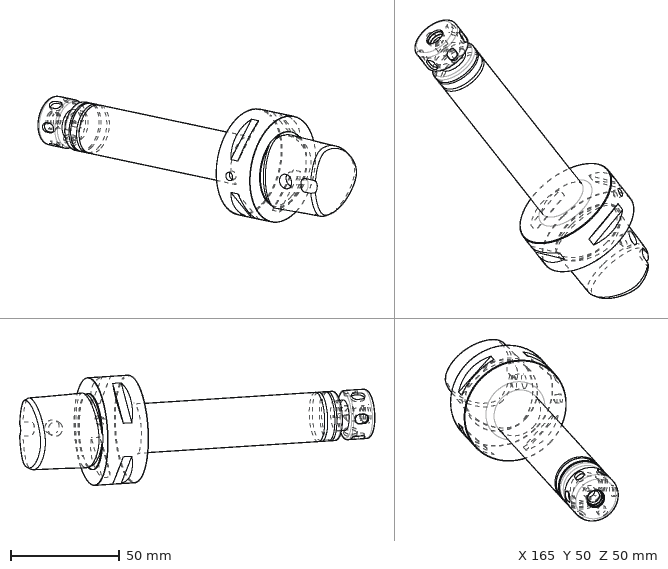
import cadquery as cq
import math

total_length = 165.0

nut_length = 11.5
body_diameter = 23.0
nut_front_radius = 1.6
nut_back_radius = 0.8
wrench_pocket_count = 6
wrench_pocket_length = 6.5
wrench_pocket_width = 4.5
wrench_pocket_depth = 1.5
wrench_pocket_x = 6.8
mouth_diameter = 8.5
mouth_depth = 1.0
nut_bore_diameter = 8.0
collet_front_diameter = 7.3
collet_front = 2.5
collet_bore_diameter = 5.8
collet_chamfer_depth = 0.8
collet_bore_depth = 9.9
coolant_diameter = 1.6
coolant_depth = 5.0

neck_diameter = 14.0
body_start = 16.0
body_edge_radius = 1.0
groove_spans = [(19.0, 20.0), (23.5, 24.9)]
groove_depth = 0.3

flange_start = 115.0
flange_end = 135.0
flange_diameter = 50.0
flange_front_chamfer = 0.3
flange_back_chamfer = 0.2
root_radius = 3.0
gripper_notch_x = 124.9
gripper_floor_width = 4.1
gripper_depth = 2.6
gripper_wall_angle = 29.0
gripper_notch_count = 4
flange_hole_x = 123.0
flange_hole_diameter = 4.0
flange_hole_depth = 2.6

collar_diameter = 35.3
collar_length = 0.5
relief_end = 137.1
relief_inset = 0.8
shank_mean_radius = 17.3
lobe_height = 1.24
taper_per_side = 1 / 40
shank_chamfer_length = 2.0
shank_chamfer_inset = 1.0
side_hole_x = 148.7
side_hole_diameter = 7.0
side_hole_depth = 5.0
end_notch_diameter = 7.0
end_notch_start = 157.5
end_notch_corner_radius = 2.1
end_notch_axis_offset = 1.0
drill_half_angle = 60.0

overlap = 1.6


def rod(start, end, diameter):
    """Cylinder along X between two X positions."""
    return cq.Workplane("YZ", origin=(start, 0, 0)).circle(diameter / 2).extrude(end - start)


def drill(tip_base, diameter, length):
    """Tool for a drilled hole along +Y, with its conical tip starting at tip_base."""
    radius = diameter / 2
    tip = radius / math.tan(math.radians(drill_half_angle))
    outline = cq.Workplane("XY").moveTo(0, -length).lineTo(radius, -length).lineTo(radius, 0)
    tool = outline.lineTo(0, tip).close().revolve(360, (0, 0, 0), (0, 1, 0))
    return tool.translate(tip_base)


def turn_copies(tool, count, first_angle):
    """Equally spaced copies of a tool around the X axis."""
    step = 360 / count
    return [tool.rotate((0, 0, 0), (1, 0, 0), first_angle + index * step) for index in range(count)]


def make_body():
    """Nut, neck, cylindrical body and flange, all turned about X."""
    nut = rod(0, nut_length, body_diameter)
    nut = nut.faces("<X").edges().fillet(nut_front_radius)
    nut = nut.faces(">X").edges().fillet(nut_back_radius)
    neck = rod(nut_length - overlap, body_start + overlap, neck_diameter)
    body = rod(body_start, flange_start + overlap, body_diameter)
    body = body.faces("<X").edges().fillet(body_edge_radius)
    flange = rod(flange_start, flange_end, flange_diameter)
    flange = flange.faces("<X").edges().chamfer(flange_front_chamfer)
    flange = flange.faces(">X").edges().chamfer(flange_back_chamfer)
    return nut.union(neck).union(body).union(flange).union(make_root_fillet())


def make_root_fillet():
    """Concave ring that blends the body into the front face of the flange."""
    radius = body_diameter / 2
    outline = (
        cq.Workplane("XY")
        .moveTo(flange_start - root_radius, radius)
        .radiusArc((flange_start, radius + root_radius), -root_radius)
        .lineTo(flange_start + overlap, radius + root_radius)
        .lineTo(flange_start + overlap, radius - overlap)
        .lineTo(flange_start - root_radius, radius - overlap)
        .close()
    )
    return outline.revolve(360, (0, 0, 0), (1, 0, 0))


def make_groove(start, end):
    """Shallow round-bottomed groove around the body."""
    radius = body_diameter / 2
    outline = (
        cq.Workplane("XY")
        .moveTo(start, radius + overlap)
        .lineTo(start, radius)
        .threePointArc(((start + end) / 2, radius - groove_depth), (end, radius))
        .lineTo(end, radius + overlap)
        .close()
    )
    return outline.revolve(360, (0, 0, 0), (1, 0, 0))


def make_collet_bore():
    """Stepped bore in the nut that narrows to the coolant hole."""
    chamfer_end = collet_front + collet_chamfer_depth
    cone_end = collet_bore_depth + (collet_bore_diameter - coolant_diameter) / 2
    outline = cq.Workplane("XY").polyline([
        (-overlap, 0),
        (-overlap, mouth_diameter / 2),
        (mouth_depth, mouth_diameter / 2),
        (mouth_depth, nut_bore_diameter / 2),
        (collet_front, nut_bore_diameter / 2),
        (collet_front, collet_front_diameter / 2),
        (chamfer_end, collet_bore_diameter / 2),
        (collet_bore_depth, collet_bore_diameter / 2),
        (cone_end, coolant_diameter / 2),
        (cone_end + coolant_depth, coolant_diameter / 2),
        (cone_end + coolant_depth, 0),
    ])
    return outline.close().revolve(360, (0, 0, 0), (1, 0, 0))


def make_wrench_pocket():
    """Flat-bottomed oval pocket in the rim of the nut."""
    floor = body_diameter / 2 - wrench_pocket_depth
    sketch = cq.Workplane("XY", origin=(wrench_pocket_x, 0, floor))
    return sketch.slot2D(wrench_pocket_length, wrench_pocket_width).extrude(wrench_pocket_depth + overlap)


def make_gripper_notch():
    """Straight trapezoidal cut across the rim of the flange."""
    height = gripper_depth + overlap
    floor = flange_diameter / 2 - gripper_depth
    half_floor = gripper_floor_width / 2
    half_top = half_floor + height * math.tan(math.radians(gripper_wall_angle))
    outline = cq.Workplane("XZ", origin=(gripper_notch_x, 0, floor)).polyline([
        (-half_floor, 0),
        (half_floor, 0),
        (half_top, height),
        (-half_top, height),
    ])
    return outline.close().extrude(flange_diameter / 2, both=True)


def lobed_outline(x, mean_radius):
    """Three-lobed wire across X, with one lobe pointing to +Y."""
    def point(angle):
        reach = mean_radius + lobe_height * math.cos(3 * angle)
        slope = -3 * lobe_height * math.sin(3 * angle)
        y = reach * math.cos(angle) - slope * math.sin(angle)
        z = reach * math.sin(angle) + slope * math.cos(angle)
        return (y, z)

    samples = 36
    points = [point(2 * math.pi * index / samples) for index in range(samples)]
    return cq.Workplane("YZ", origin=(x, 0, 0)).spline(points, periodic=True).close().val()


def lobed_section(start, start_radius, end, end_radius):
    """Straight-sided length of the shank between two lobed outlines."""
    wires = [lobed_outline(start, start_radius), lobed_outline(end, end_radius)]
    return cq.Workplane(cq.Solid.makeLoft(wires, True))


def make_shank():
    """Tapered lobed shank with a round collar, a relieved root and a chamfered end."""
    chamfer_start = total_length - shank_chamfer_length
    chamfer_radius = shank_mean_radius - (chamfer_start - relief_end) * taper_per_side
    relief = lobed_section(flange_end, shank_mean_radius - relief_inset, relief_end, shank_mean_radius)
    taper = lobed_section(relief_end, shank_mean_radius, chamfer_start, chamfer_radius)
    end_radius = chamfer_radius - shank_chamfer_inset
    chamfer = lobed_section(chamfer_start, chamfer_radius, total_length, end_radius)
    collar = rod(flange_end - overlap, flange_end + collar_length, collar_diameter)
    return relief.union(taper).union(chamfer).union(collar)


def shank_flat_y(x):
    """Y of the flattest side of the tapered shank, opposite the +Y lobe."""
    return lobe_height - shank_mean_radius + (x - relief_end) * taper_per_side


result = make_body().union(make_shank())
result = result.cut(make_collet_bore())

for groove_start, groove_end in groove_spans:
    result = result.cut(make_groove(groove_start, groove_end))

for pocket in turn_copies(make_wrench_pocket(), wrench_pocket_count, 30):
    result = result.cut(pocket)

for notch in turn_copies(make_gripper_notch(), gripper_notch_count, 45):
    result = result.cut(notch)

flange_hole_base = (flange_hole_x, flange_hole_depth - flange_diameter / 2, 0)
result = result.cut(drill(flange_hole_base, flange_hole_diameter, flange_hole_depth + overlap))

side_hole_base = (side_hole_x, shank_flat_y(side_hole_x) + side_hole_depth, 0)
result = result.cut(drill(side_hole_base, side_hole_diameter, side_hole_depth + overlap))

end_notch = rod(end_notch_start, total_length + overlap, end_notch_diameter)
end_notch = end_notch.faces("<X").edges().fillet(end_notch_corner_radius)
end_notch_y = shank_flat_y(total_length) - end_notch_axis_offset
result = result.cut(end_notch.translate((0, end_notch_y, 0)))